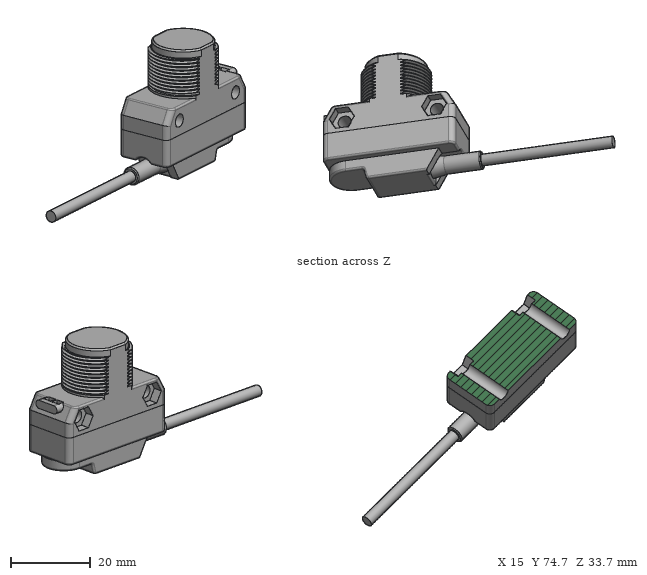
import cadquery as cq
import math

WIDTH = 15.0
HALF_LENGTH = 17.3
BLOCK_BOTTOM = 5.8
PARTING_Z = 13.25
SHOULDER_Z = 21.0
CORNER_RADIUS = 1.5
BOTTOM_EDGE_RADIUS = 0.5
TOP_EDGE_RADIUS = 0.5

SLOPE_ANGLE = 60.0
SLOPE_START_Z = 17.2
SLOPE_RUN = (SHOULDER_Z - SLOPE_START_Z) / math.tan(math.radians(SLOPE_ANGLE))

MOUNT_SPACING = 24.14
MOUNT_Z = 17.2
MOUNT_DIAMETER = 3.4
NUT_ACROSS_FLATS = 5.65
NUT_DEPTH = 2.5

TOP_Z = 33.7
CAP_BOTTOM_Z = 31.6
CAP_RADIUS = 7.95
CAP_CHAMFER = 0.45
COLLAR_TOP_Z = 21.6
THREAD_RADIUS = 8.92
ROOT_RADIUS = 8.2
PITCH = 0.9
THREAD_START_Z = 21.675
RIDGE_BASE = 0.84 * PITCH
RIDGE_TIP = 0.08
RIDGE_SINK = 0.1

TAB_WIDTH = 7.5
TAB_THICKNESS = 2.2
TAB_TIP_Y = 17.87
TAB_POCKET_OUTER_Y = 16.2
TAB_POCKET_INNER_Y = 14.4
TAB_POCKET_SPAN = TAB_WIDTH - TAB_THICKNESS
TAB_RIB = 0.5

FOOT_WIDTH = 11.1
SHELF_Z = 3.0
STEP_TOP_Y = 7.05
STEP_BOTTOM_Y = 6.3
FOOT_FRONT_Y = -9.45
FOOT_SLOPE_TOP_Y = -12.7
STEP_INNER_RADIUS = 0.5
STEP_OUTER_RADIUS = 0.8
FOOT_EDGE_RADIUS = 0.5
RIM_MARGIN = 0.1

CABLE_Z = 3.7
CABLE_RADIUS = 1.5
OVERALL_LENGTH = 74.71
CABLE_END_Y = TAB_TIP_Y - OVERALL_LENGTH
SLEEVE_RADIUS = 2.33
SLEEVE_END_Y = -22.55
SLEEVE_CHAMFER = 0.3
FLARE_RADIUS = 2.93
FLARE_END_Y = -13.05
CHANNEL_RADIUS = 3.0
CHANNEL_ARCH_Z = 4.1
CHANNEL_EDGE_RADIUS = 0.3


def nearest_to(point):
    return cq.selectors.NearestToPointSelector(point)


def cylinder(radius, bottom, top):
    return cq.Workplane("XY", origin=(0, 0, bottom)).circle(radius).extrude(top - bottom)


def upper_block():
    """Block with sloped ends and rounded corners."""
    top_y = HALF_LENGTH - SLOPE_RUN
    outline = [
        (-HALF_LENGTH, PARTING_Z),
        (HALF_LENGTH, PARTING_Z),
        (HALF_LENGTH, SLOPE_START_Z),
        (top_y, SHOULDER_Z),
        (-top_y, SHOULDER_Z),
        (-HALF_LENGTH, SLOPE_START_Z),
    ]
    block = cq.Workplane("YZ").polyline(outline).close().extrude(WIDTH / 2, both=True)
    corner_edges = block.edges("not(|X or |Y)")
    block = corner_edges.fillet(CORNER_RADIUS)
    return block.faces(">Z").edges().fillet(TOP_EDGE_RADIUS)


def thread():
    """Helical ridge on the barrel, cut level where the cap begins."""
    inner = ROOT_RADIUS - RIDGE_SINK
    height = CAP_BOTTOM_Z - THREAD_START_Z + PITCH
    helix = cq.Wire.makeHelix(PITCH, height, inner, center=cq.Vector(0, 0, THREAD_START_Z))
    profile = [
        (inner, THREAD_START_Z - RIDGE_BASE / 2),
        (THREAD_RADIUS, THREAD_START_Z - RIDGE_TIP / 2),
        (THREAD_RADIUS, THREAD_START_Z + RIDGE_TIP / 2),
        (inner, THREAD_START_Z + RIDGE_BASE / 2),
    ]
    ridge = cq.Workplane("XZ").polyline(profile).close().sweep(cq.Workplane(helix), isFrenet=True)
    return ridge.intersect(cylinder(WIDTH, SHOULDER_Z, CAP_BOTTOM_Z))


def barrel():
    """Collar, threaded length and chamfered cap, flattened to the width of the housing."""
    flats = cq.Workplane("XY").box(WIDTH, 2 * HALF_LENGTH, 2 * TOP_Z)
    flats = flats.edges(">Z and |Y").chamfer(CAP_CHAMFER)
    cap = cylinder(CAP_RADIUS, CAP_BOTTOM_Z, TOP_Z).faces(">Z").edges().chamfer(CAP_CHAMFER)
    core = cylinder(ROOT_RADIUS, PARTING_Z, CAP_BOTTOM_Z)
    collar = cylinder(THREAD_RADIUS, PARTING_Z, COLLAR_TOP_Z)
    return core.union(collar).union(thread()).union(cap).intersect(flats)


def latch_tab():
    """Plate with half-round sides, flush with the shoulder."""
    return (
        cq.Workplane("XZ", origin=(0, TAB_TIP_Y, SHOULDER_Z - TAB_THICKNESS / 2))
        .slot2D(TAB_WIDTH, TAB_THICKNESS)
        .extrude(TAB_TIP_Y - TAB_POCKET_INNER_Y)
    )


def tab_pockets():
    """Two ramped pockets side by side, deepest toward the barrel."""
    depth = (TAB_POCKET_OUTER_Y - TAB_POCKET_INNER_Y) * math.tan(math.radians(SLOPE_ANGLE))
    ramp = [
        (TAB_POCKET_OUTER_Y, SHOULDER_Z),
        (TAB_POCKET_INNER_Y, SHOULDER_Z),
        (TAB_POCKET_INNER_Y, SHOULDER_Z - depth),
    ]
    pockets = cq.Workplane("YZ").polyline(ramp).close().extrude(TAB_POCKET_SPAN / 2, both=True)
    rib = cq.Workplane("XY").box(TAB_RIB, 2 * TAB_TIP_Y, 2 * TOP_Z)
    return pockets.cut(rib)


def mount_cutters():
    """Through holes, each with a nut pocket on the -X side."""
    cutters = cq.Workplane("XY")
    for side in (-1, 1):
        start = cq.Workplane("YZ", origin=(-WIDTH / 2, side * MOUNT_SPACING / 2, MOUNT_Z))
        corner_diameter = NUT_ACROSS_FLATS / math.cos(math.pi / 6)
        cutters = cutters.add(start.circle(MOUNT_DIAMETER / 2).extrude(WIDTH))
        cutters = cutters.add(start.polygon(6, corner_diameter).extrude(NUT_DEPTH))
    return cutters.combine()


def make_upper_housing():
    housing = upper_block().union(latch_tab()).union(barrel())
    return housing.cut(tab_pockets()).cut(mount_cutters())


def foot():
    """Stepped foot with a half-round +Y end, a sloped -Y end and a rounded lower rim."""
    outline = [
        (HALF_LENGTH, BLOCK_BOTTOM),
        (HALF_LENGTH, SHELF_Z),
        (STEP_TOP_Y, SHELF_Z),
        (STEP_BOTTOM_Y, 0),
        (FOOT_FRONT_Y, 0),
        (FOOT_SLOPE_TOP_Y, BLOCK_BOTTOM),
    ]
    body = cq.Workplane("YZ").polyline(outline).close().extrude(FOOT_WIDTH / 2, both=True)
    body = body.edges(nearest_to((0, STEP_TOP_Y, SHELF_Z))).fillet(STEP_INNER_RADIUS)
    body = body.edges(nearest_to((0, STEP_BOTTOM_Y, 0))).fillet(STEP_OUTER_RADIUS)

    end_radius = FOOT_WIDTH / 2
    end_center_y = HALF_LENGTH - end_radius
    plan = (
        cq.Workplane("XY")
        .moveTo(-end_radius, FOOT_SLOPE_TOP_Y)
        .lineTo(-end_radius, end_center_y)
        .threePointArc((0, HALF_LENGTH), (end_radius, end_center_y))
        .lineTo(end_radius, FOOT_SLOPE_TOP_Y)
        .close()
        .extrude(BLOCK_BOTTOM)
    )
    body = body.intersect(plan)
    lower_rim = cq.selectors.BoxSelector(
        (-WIDTH, FOOT_FRONT_Y, -SHELF_Z), (WIDTH, HALF_LENGTH + SHELF_Z, SHELF_Z + RIM_MARGIN)
    )
    rim = body.edges(lower_rim).edges("not |X")
    return rim.fillet(FOOT_EDGE_RADIUS)


def sleeve_channel():
    """Arched channel, open downward, that clears the flared end of the sleeve."""
    channel_length = HALF_LENGTH + FOOT_FRONT_Y
    return (
        cq.Workplane("XZ", origin=(0, FOOT_FRONT_Y, 0))
        .moveTo(-CHANNEL_RADIUS, 0)
        .lineTo(-CHANNEL_RADIUS, CHANNEL_ARCH_Z)
        .threePointArc((0, CHANNEL_ARCH_Z + CHANNEL_RADIUS), (CHANNEL_RADIUS, CHANNEL_ARCH_Z))
        .lineTo(CHANNEL_RADIUS, 0)
        .close()
        .extrude(channel_length)
    )


def cable():
    """Cable with its flared sleeve, turned about the cable axis."""
    profile = [
        (0, FOOT_FRONT_Y),
        (FLARE_RADIUS, FOOT_FRONT_Y),
        (SLEEVE_RADIUS, FLARE_END_Y),
        (SLEEVE_RADIUS, SLEEVE_END_Y + SLEEVE_CHAMFER),
        (SLEEVE_RADIUS - SLEEVE_CHAMFER, SLEEVE_END_Y),
        (CABLE_RADIUS, SLEEVE_END_Y),
        (CABLE_RADIUS, CABLE_END_Y),
        (0, CABLE_END_Y),
    ]
    flat = cq.Workplane("XY", origin=(0, 0, CABLE_Z)).polyline(profile).close()
    return flat.revolve(360, (0, 0, 0), (0, 1, 0))


def lower_block():
    block = (
        cq.Workplane("XY", origin=(0, 0, BLOCK_BOTTOM))
        .rect(WIDTH, 2 * HALF_LENGTH)
        .extrude(PARTING_Z - BLOCK_BOTTOM)
    )
    block = block.edges("|Z").fillet(CORNER_RADIUS)
    return block.faces("<Z").edges().fillet(BOTTOM_EDGE_RADIUS)


def make_lower_housing():
    """Lower housing with its foot and the cable fixed in the sleeve channel."""
    housing = lower_block().union(foot()).cut(sleeve_channel())
    housing = housing.edges(nearest_to((0, FOOT_FRONT_Y, 0))).fillet(FOOT_EDGE_RADIUS)
    mouth_z = CHANNEL_ARCH_Z + CHANNEL_RADIUS
    housing = housing.edges(nearest_to((0, -HALF_LENGTH, mouth_z))).fillet(CHANNEL_EDGE_RADIUS)
    return housing.union(cable())


result = cq.Compound.makeCompound([make_upper_housing().val(), make_lower_housing().val()])